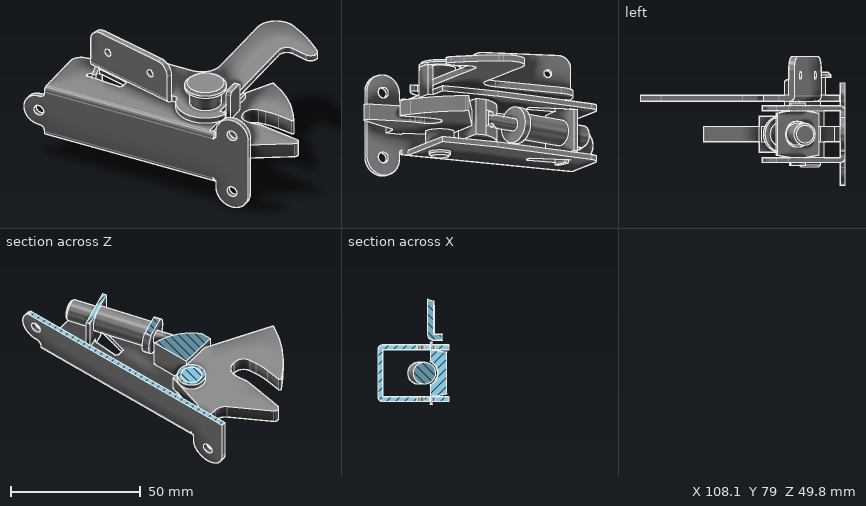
import cadquery as cq
import math


PIVOT_X = 71.85
PIVOT_Y = 13.65

SHEET = 2.0
CHANNEL_HALF = 11.0
INNER_HALF = CHANNEL_HALF - SHEET
CHANNEL_START = 8.9
FLANGE_END = 79.8
BEND_END = 82.3
TONGUE_RADIUS = 6.5
EAR_RADIUS = 7.0
EAR_X = 90.4
EAR_HOLE_Z = 12.75
MOUNT_HOLE_DIA = 4.2
EAR_INNER_X = EAR_X - EAR_RADIUS
TONGUE_FILLET = 2.0
EAR_FILLET = 1.5
FLANGE_SHOULDER = 26.0
FLANGE_HEIGHT = 32.05
FLANGE_LEVEL_X = 56.0
FLANGE_CORNER_RADIUS = 4.7

STOP_LOW_Y = 15.6
STOP_HIGH_Y = 23.5
STOP_TOP_Z = 21.1
STOP_CORNER_RADIUS = 1.4

LEVER_BOTTOM = 12.7
LEVER_TOP = 15.05
LEVER_SHEET = LEVER_TOP - LEVER_BOTTOM
LEVER_EDGE_X = FLANGE_END
LEVER_BACK_X = 64.85
LEVER_ARM_Y = 31.55
LOBE_RADIUS = 11.5
LOBE_LEFT_Y = 11.75
LOBE_RIGHT_Y = 10.45
LOBE_TIP_RADIUS = 1.0
GRIP_ANGLE = 15.0
GRIP_START_X = 18.9
GRIP_START_Y = 19.55
GRIP_LENGTH = 40.0
GRIP_TOP = 30.0
GRIP_CORNER_RADIUS = 5.0
GRIP_BEND_RADIUS = 2.0
GRIP_HOLE_DIA = 3.0
GRIP_HOLE_SPACING = 22.0
GRIP_HOLE_Z = 22.7

CLAW_THICKNESS = 6.0
CLAW_BACK_X = 66.0
CLAW_THROAT_X = 79.75
CLAW_LEG_LEFT = 82.75
CLAW_LEG_RIGHT = 89.2

SHANK_DIA = 8.3
NECK_DIA = 12.2
HEAD_DIA = 16.2
HEAD_BOTTOM = 21.9
HEAD_TOP = 23.9
HEAD_CHAMFER = 1.0
PIN_BOTTOM = -12.7
PIN_END_CHAMFER = 0.8
SLEEVE_DIA = 11.0

AXIS_ANGLE = 15.0
ROD_START_X = 10.8
ROD_START_Y = 15.45
ROD_DIA = 8.5
ROD_CHAMFER = 0.8
BARREL_DIA = 10.0
COLLAR_DIA = 14.0
COLLAR_START = 33.4
COLLAR_THICKNESS = 2.8
STEM_DIA = 5.0
STEM_END = 52.0
HEAD_ARC_RADIUS = 22.0
HEAD_WIDTH = COLLAR_DIA
HEAD_HIGH_Y = 33.2
HEAD_LOW_Y = 18.0
HEAD_ARC_MIDDLE_ANGLE = 150.0
HEAD_POCKET_LOW_Y = 30.0
HEAD_POCKET_HIGH_Y = 32.2
HEAD_POCKET_X = 62.0
HEAD_POCKET_DEPTH = 6.0

GUIDE_POSITION = 10.45
GUIDE_THICKNESS = 1.7
GUIDE_LENGTH = 16.6
GUIDE_HOLE_DIA = 10.0
GUIDE_LUG_WIDTH = 5.8
GUIDE_LUG_HALF = 12.1
GUIDE_END_HALF = 8.1
GUIDE_TAPER = 4.5
GUIDE_CLEARANCE = 0.1
GUIDE_HALF = INNER_HALF - GUIDE_CLEARANCE


def rounded_outline(corners):
    """Closed XY outline through (x, y, radius) corners, each rounded by a tangent arc."""
    arcs = []
    count = len(corners)
    for i, (x, y, radius) in enumerate(corners):
        here = cq.Vector(x, y)
        to_previous = (cq.Vector(*corners[i - 1][:2]) - here).normalized()
        to_next = (cq.Vector(*corners[(i + 1) % count][:2]) - here).normalized()
        half_angle = to_previous.getAngle(to_next) / 2
        reach = radius / math.tan(half_angle)
        bisector = (to_previous + to_next).normalized()
        middle = here + bisector * (radius / math.sin(half_angle) - radius)
        arcs.append((here + to_previous * reach, middle, here + to_next * reach, radius))
    outline = cq.Workplane("XY").moveTo(arcs[0][2].x, arcs[0][2].y)
    for start, middle, end, radius in arcs[1:] + arcs[:1]:
        outline = outline.lineTo(start.x, start.y)
        if radius > 0:
            outline = outline.threePointArc((middle.x, middle.y), (end.x, end.y))
    return outline.close()


def slab(outline, bottom, top):
    """Extrude an XY outline between two Z levels."""
    return outline.extrude(top - bottom).translate((0, 0, bottom))


def cylinder_z(diameter, bottom, top):
    """Upright cylinder on the pivot axis."""
    return slab(cq.Workplane("XY").center(PIVOT_X, PIVOT_Y).circle(diameter / 2), bottom, top)


def axis_plane(distance):
    """Plane square to the plunger axis: local x runs down across the axis, local y along Z."""
    angle = math.radians(AXIS_ANGLE)
    along = cq.Vector(math.cos(angle), math.sin(angle), 0)
    origin = cq.Vector(ROD_START_X, ROD_START_Y, 0) + along * distance
    return cq.Plane(origin=origin, xDir=(math.sin(angle), -math.cos(angle), 0), normal=along)


def axis_cylinder(diameter, start, end):
    """Cylinder along the plunger axis between two distances from the rod end."""
    return cq.Workplane(axis_plane(start)).circle(diameter / 2).extrude(end - start)


def make_mounting_face():
    """Flat base: tongue, web and the crosswise ears."""
    face = cq.Workplane("XZ", origin=(0, SHEET, 0))
    web_length = EAR_X - CHANNEL_START
    web = face.center(CHANNEL_START + web_length / 2, 0).rect(web_length, 2 * INNER_HALF).extrude(SHEET)
    tongue = face.center(TONGUE_RADIUS, 0).circle(TONGUE_RADIUS).extrude(SHEET)
    neck_length = 2 * (CHANNEL_START - TONGUE_RADIUS)
    neck = face.center(CHANNEL_START, 0).rect(neck_length, 2 * TONGUE_RADIUS).extrude(SHEET)
    ear_length = 2 * (EAR_HOLE_Z + EAR_RADIUS)
    ears = face.center(EAR_X, 0).slot2D(ear_length, 2 * EAR_RADIUS, 90).extrude(SHEET)
    base = web.union(tongue).union(neck).union(ears).clean()
    near = 0.1
    for x, z, radius in ((CHANNEL_START, TONGUE_RADIUS, TONGUE_FILLET), (EAR_INNER_X, INNER_HALF, EAR_FILLET)):
        for side in (1, -1):
            corner = cq.selectors.BoxSelector(
                (x - near, -near, side * z - near), (x + near, SHEET + near, side * z + near)
            )
            base = base.edges("|Y").edges(corner).fillet(radius)
    holes = [(TONGUE_RADIUS, 0), (EAR_X, EAR_HOLE_Z), (EAR_X, -EAR_HOLE_Z)]
    drills = face.pushPoints(holes).circle(MOUNT_HOLE_DIA / 2).extrude(SHEET)
    return base.cut(drills)


def make_flange():
    """Upper flange with its bend, the pivot hole and the guide slot."""
    outline = rounded_outline([
        (CHANNEL_START, SHEET, 0),
        (FLANGE_END, SHEET, 0),
        (FLANGE_END, FLANGE_HEIGHT, 0),
        (FLANGE_LEVEL_X, FLANGE_HEIGHT, 0),
        (CHANNEL_START, FLANGE_SHOULDER, FLANGE_CORNER_RADIUS),
    ])
    flange = slab(outline, INNER_HALF, CHANNEL_HALF)
    bend_length = BEND_END - CHANNEL_START
    bend = (
        cq.Workplane("YZ", origin=(CHANNEL_START, 0, 0))
        .moveTo(0, INNER_HALF)
        .radiusArc((SHEET, CHANNEL_HALF), SHEET)
        .lineTo(SHEET, INNER_HALF)
        .close()
        .extrude(bend_length)
    )
    slot = rounded_outline([
        (19.2, 15.25, 0),
        (34.3, 14.05, 0),
        (35.2, 14.9, 0),
        (35.2, 18.0, 0),
        (19.8, 22.2, 0),
        (20.8, 18.2, 0),
        (19.2, 16.3, 0),
    ])
    flange = flange.union(bend).cut(slab(slot, INNER_HALF, CHANNEL_HALF))
    return flange.cut(cylinder_z(SHANK_DIA, INNER_HALF, CHANNEL_HALF))


def make_stop():
    """Tab bent up from the flange end that stops the hook lever."""
    return (
        cq.Workplane("XY")
        .box(SHEET, STOP_HIGH_Y - STOP_LOW_Y, STOP_TOP_Z - INNER_HALF, centered=False)
        .edges("|X and >Z")
        .fillet(STOP_CORNER_RADIUS)
        .translate((FLANGE_END, STOP_LOW_Y, INNER_HALF))
    )


def make_bracket():
    flange = make_flange()
    return make_mounting_face().union(flange).union(flange.mirror("XY")).union(make_stop())


def make_grip():
    """Upright grip tab, built along X and then swung into place."""
    grip = (
        cq.Workplane("XY")
        .box(GRIP_LENGTH, LEVER_SHEET, GRIP_TOP - LEVER_BOTTOM, centered=False)
        .edges("|Y and >Z")
        .fillet(GRIP_CORNER_RADIUS)
    )
    hole_z = GRIP_HOLE_Z - LEVER_BOTTOM
    offset = (GRIP_LENGTH - GRIP_HOLE_SPACING) / 2
    drills = (
        cq.Workplane("XZ", origin=(0, LEVER_SHEET, 0))
        .pushPoints([(offset, hole_z), (GRIP_LENGTH - offset, hole_z)])
        .circle(GRIP_HOLE_DIA / 2)
        .extrude(LEVER_SHEET)
    )
    grip = grip.cut(drills).edges("|X and <Y and <Z").fillet(GRIP_BEND_RADIUS)
    swung = grip.rotate((0, 0, 0), (0, 0, 1), -GRIP_ANGLE)
    return swung.translate((GRIP_START_X, GRIP_START_Y, LEVER_BOTTOM))


def grip_point(along, across):
    """XY position measured along the grip and square to it, from its outer left corner."""
    angle = math.radians(GRIP_ANGLE)
    x = GRIP_START_X + along * math.cos(angle) + across * math.sin(angle)
    y = GRIP_START_Y - along * math.sin(angle) + across * math.cos(angle)
    return x, y


def make_lobe():
    """Round lobe around the pivot, with a rounded free tip."""
    left_x = PIVOT_X - math.sqrt(LOBE_RADIUS**2 - (LOBE_LEFT_Y - PIVOT_Y) ** 2)
    right_x = PIVOT_X + math.sqrt(LOBE_RADIUS**2 - (LOBE_RIGHT_Y - PIVOT_Y) ** 2)
    outline = (
        cq.Workplane("XY")
        .moveTo(left_x, LOBE_LEFT_Y)
        .threePointArc((PIVOT_X, PIVOT_Y - LOBE_RADIUS), (right_x, LOBE_RIGHT_Y))
        .lineTo(PIVOT_X, LOBE_RIGHT_Y)
        .lineTo(PIVOT_X, LOBE_LEFT_Y)
        .close()
    )
    return slab(outline, LEVER_BOTTOM, LEVER_TOP).edges("|Z and >X").fillet(LOBE_TIP_RADIUS)


def make_hook_lever():
    inner_start = grip_point(0, LEVER_SHEET)
    inner_end = grip_point(GRIP_LENGTH, LEVER_SHEET)
    arm_run = (LEVER_ARM_Y - GRIP_START_Y) / math.cos(math.radians(GRIP_ANGLE))
    arm_end_x = grip_point(0, arm_run)[0]
    notch_lean = 0.2
    outline = rounded_outline([
        (*inner_start, 0),
        (arm_end_x, LEVER_ARM_Y, 8.0),
        (LEVER_BACK_X, LEVER_ARM_Y, 8.0),
        (LEVER_BACK_X, 84.3, 8.0),
        (84.2, 74.1, 60.0),
        (102.0, 58.7, 2.75),
        (LEVER_EDGE_X, 64.5, 3.5),
        (LEVER_EDGE_X, LOBE_RIGHT_Y, 0),
        (PIVOT_X, LOBE_RIGHT_Y, 0),
        (PIVOT_X, LOBE_LEFT_Y, 0),
        (inner_end[0] + notch_lean, LOBE_LEFT_Y, 0),
        (*inner_end, 0),
    ])
    plate = slab(outline, LEVER_BOTTOM, LEVER_TOP)
    lever = plate.union(make_lobe()).union(make_grip())
    return lever.cut(cylinder_z(SHANK_DIA, LEVER_BOTTOM, LEVER_TOP))


def make_claw():
    """Double-jawed claw that turns on the sleeve."""
    outline = rounded_outline([
        (CLAW_LEG_LEFT, SHEET, 0),
        (CLAW_LEG_LEFT, 4.1, 0),
        (CLAW_BACK_X, 9.6, 0),
        (CLAW_BACK_X, 29.6, 0),
        (79.9, 54.8, 0.3),
        (90.9, 48.5, 45.0),
        (100.0, 33.75, 0.6),
        (89.6, 35.4, 25.0),
        (CLAW_THROAT_X, 34.7, 4.5),
        (CLAW_THROAT_X, 25.4, 4.5),
        (86.2, 25.4, 8.0),
        (89.5, 25.85, 8.0),
        (111.3, 22.03, 1.71),
        (CLAW_LEG_RIGHT, 9.0, 5.0),
        (CLAW_LEG_RIGHT, SHEET, 0),
    ])
    half = CLAW_THICKNESS / 2
    return slab(outline, -half, half).cut(cylinder_z(SLEEVE_DIA, -half, half))


def make_pin():
    shank = cylinder_z(SHANK_DIA, PIN_BOTTOM, LEVER_TOP).faces("<Z").chamfer(PIN_END_CHAMFER)
    neck = cylinder_z(NECK_DIA, LEVER_TOP, HEAD_BOTTOM)
    head = cylinder_z(HEAD_DIA, HEAD_BOTTOM, HEAD_TOP).faces(">Z").chamfer(HEAD_CHAMFER)
    return shank.union(neck).union(head)


def make_sleeve():
    tube = cylinder_z(SLEEVE_DIA, -INNER_HALF, INNER_HALF)
    return tube.cut(cylinder_z(SHANK_DIA, -INNER_HALF, INNER_HALF))


def make_plunger_head():
    """Block behind the collar, rounded about the pivot."""
    high_x = PIVOT_X - math.sqrt(HEAD_ARC_RADIUS**2 - (HEAD_HIGH_Y - PIVOT_Y) ** 2)
    low_x = PIVOT_X - math.sqrt(HEAD_ARC_RADIUS**2 - (HEAD_LOW_Y - PIVOT_Y) ** 2)
    bulge = math.radians(HEAD_ARC_MIDDLE_ANGLE)
    middle = (PIVOT_X + HEAD_ARC_RADIUS * math.cos(bulge), PIVOT_Y + HEAD_ARC_RADIUS * math.sin(bulge))
    outline = (
        cq.Workplane("XY")
        .moveTo(CLAW_BACK_X, HEAD_LOW_Y)
        .lineTo(CLAW_BACK_X, HEAD_HIGH_Y)
        .lineTo(high_x, HEAD_HIGH_Y)
        .threePointArc(middle, (low_x, HEAD_LOW_Y))
        .close()
    )
    return slab(outline, -HEAD_WIDTH / 2, HEAD_WIDTH / 2)


def make_plunger():
    """Stepped rod with a collar, a stem and a pocketed head block."""
    barrel_start = GUIDE_POSITION + GUIDE_THICKNESS
    collar_end = COLLAR_START + COLLAR_THICKNESS
    rod = axis_cylinder(ROD_DIA, 0, barrel_start).faces("<X").chamfer(ROD_CHAMFER)
    barrel = axis_cylinder(BARREL_DIA, barrel_start, COLLAR_START)
    collar = axis_cylinder(COLLAR_DIA, COLLAR_START, collar_end)
    stem = axis_cylinder(STEM_DIA, collar_end, STEM_END)
    pocket_height = HEAD_POCKET_HIGH_Y - HEAD_POCKET_LOW_Y
    pocket = (
        cq.Workplane("XY")
        .box(HEAD_POCKET_DEPTH, pocket_height, CLAW_THICKNESS, centered=(False, False, True))
        .translate((HEAD_POCKET_X - HEAD_POCKET_DEPTH, HEAD_POCKET_LOW_Y, 0))
    )
    return rod.union(barrel).union(collar).union(make_plunger_head().cut(pocket)).union(stem)


def make_guide_plate():
    """Plate square to the plunger, held by lugs in the flange slots."""
    end = GUIDE_LENGTH / 2
    shoulder = end - GUIDE_TAPER
    lug = GUIDE_LUG_WIDTH / 2
    quarter = [(end, GUIDE_END_HALF), (shoulder, GUIDE_HALF), (lug, GUIDE_HALF), (lug, GUIDE_LUG_HALF)]
    upper = quarter + [(-x, y) for x, y in reversed(quarter)]
    lower = [(-x, -y) for x, y in upper]
    plate = cq.Workplane(axis_plane(GUIDE_POSITION)).polyline(upper + lower).close().extrude(GUIDE_THICKNESS)
    hole = axis_cylinder(GUIDE_HOLE_DIA, GUIDE_POSITION, GUIDE_POSITION + GUIDE_THICKNESS)
    return plate.cut(hole)


bracket = make_bracket()
hook_lever = make_hook_lever()
claw = make_claw()
pin = make_pin()
sleeve = make_sleeve()
plunger = make_plunger()
guide_plate = make_guide_plate()

result = cq.Compound.makeCompound([
    *bracket.solids().vals(),
    *hook_lever.solids().vals(),
    *claw.solids().vals(),
    *pin.solids().vals(),
    *sleeve.solids().vals(),
    *plunger.solids().vals(),
    *guide_plate.solids().vals(),
])